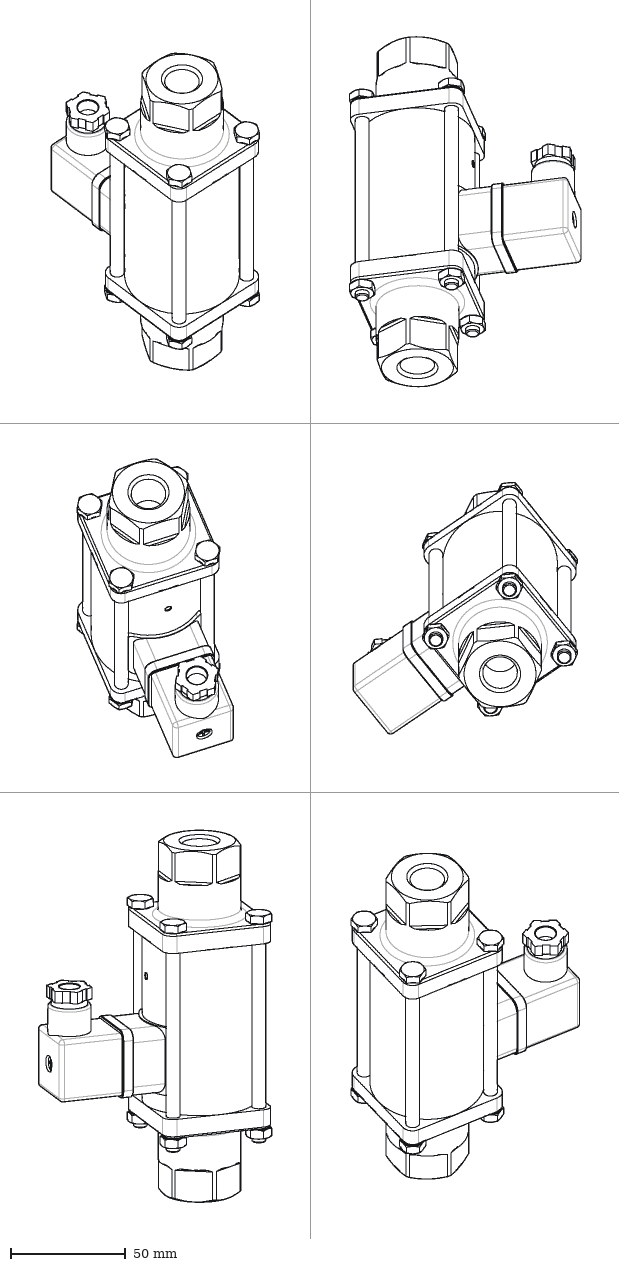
import cadquery as cq
import math

chamfer_angle = 45.0
bevel_slope = math.tan(math.radians(30))
hex_flats_ratio = math.cos(math.pi / 6)

half_length = 79.8
body_dia = 50.0
body_half_height = 37.6

plate_side = 50.1
plate_thickness = 8.8
plate_corner_radius = 5.0
plate_chamfer = 1.0
plate_outer_z = body_half_height + plate_thickness

port_dia = 36.0
port_flats = 32.0
port_flats_start = 65.5
port_runout = 1.0
port_root_fillet = 2.5
port_tip_dia = 31.3
bore_dia = 15.0
bore_mouth_dia = 17.9
bore_depth = 19.1

rod_offset = 20.0
rod_dia = 6.0
rod_tip_z = -53.3
rod_tip_chamfer = 0.5
bolt_flats = 10.0
washer_dia = 9.3
washer_thickness = 0.3
head_height = 3.7
nut_height = 4.1

connector_z = -14.0
block_side = 30.0
block_corner_radius = 5.0
pad_dia = 53.0
pad_width = 34.1
pad_height = 30.8
pad_corner_radius = 2.5
flange_width = 30.6
flange_height = 30.8
flange_corner_radius = 4.1
flange_edge_chamfer = 0.3
flange_inner_x = -36.5
flange_outer_x = -41.5
box_width = 28.0
box_height = 28.2
box_outer_x = -70.2
box_fillet = 1.9

screw_recess_dia = 7.2
screw_recess_depth = 1.9
screw_head_dia = 6.0
screw_head_height = 1.0
screw_slot_width = 1.0
screw_slot_depth = 0.8

gland_x = -60.6
gland_dia = 18.8
gland_top_z = 12.1
gland_fillet = 1.0
gland_neck_dia = 16.0
gland_nut_bottom_z = 14.8
gland_nut_top_z = 20.1
gland_nut_corner_dia = 20.0
gland_groove_width = 3.3
gland_groove_depth = 0.6
gland_bore_dia = 9.0
gland_bore_mouth_dia = 9.5
gland_bore_depth = 5.7

vent_z = 20.9
vent_dia = 2.5
vent_mouth_dia = 3.2
vent_depth = 3.2


def cylinder(diameter, z_bottom, z_top):
    """Vertical cylinder between two heights."""
    return cq.Workplane("XY", origin=(0, 0, z_bottom)).circle(diameter / 2).extrude(z_top - z_bottom)


def hexagon(flats, z_bottom, height, taper=0.0):
    """Vertical hexagonal prism with two flats facing -X and +X."""
    corner_dia = flats / hex_flats_ratio
    plane = cq.Workplane("XY", origin=(0, 0, z_bottom))
    return plane.transformed(rotate=(0, 0, 30)).polygon(6, corner_dia).extrude(height, taper=taper)


def mirrored(part):
    """Copy of a part reflected to the other end of the valve."""
    return part.mirror("XY")


def side_block(width, height, x_outer, x_inner):
    """Block centred on the connector axis between two X positions."""
    return cq.Workplane("XY").box(x_inner - x_outer, width, height).translate(
        ((x_outer + x_inner) / 2, 0, connector_z)
    )


def bevelled_cylinder(diameter, tip_dia, z_bottom, z_top, both_ends=False):
    """Turned envelope with a 30 degree bevel at its top, or at both ends."""
    radius = diameter / 2
    tip = tip_dia / 2
    rise = (radius - tip) * bevel_slope
    profile = cq.Workplane("XZ").moveTo(0, z_bottom)
    if both_ends:
        profile = profile.lineTo(tip, z_bottom).lineTo(radius, z_bottom + rise)
    else:
        profile = profile.lineTo(radius, z_bottom)
    profile = profile.lineTo(radius, z_top - rise).lineTo(tip, z_top).lineTo(0, z_top).close()
    return profile.revolve(360, (0, 0, 0), (0, 1, 0))


def make_end_plate():
    plate = cq.Workplane("XY", origin=(0, 0, body_half_height)).rect(plate_side, plate_side)
    plate = plate.extrude(plate_thickness).edges("|Z").fillet(plate_corner_radius)
    return plate.faces(">Z").edges().chamfer(plate_chamfer)


def make_port():
    """Round neck with a filleted root and a hexagonal end on 45 degree run-outs and a flat ledge."""
    port = bevelled_cylinder(port_dia, port_tip_dia, plate_outer_z, half_length)
    ledge_z = port_flats_start - port_runout
    envelope = hexagon(port_flats, port_flats_start, half_length - port_flats_start)
    runout_flats = port_flats + 2 * port_runout
    envelope = envelope.union(hexagon(runout_flats, ledge_z, port_runout, taper=chamfer_angle))
    envelope = envelope.union(cylinder(2 * port_dia, plate_outer_z, ledge_z))
    port = port.intersect(envelope)

    radius = port_dia / 2
    fillet_mid = port_root_fillet * (1 - math.sqrt(0.5))
    root = (
        cq.Workplane("XZ")
        .moveTo(0, plate_outer_z)
        .lineTo(radius + port_root_fillet, plate_outer_z)
        .threePointArc(
            (radius + fillet_mid, plate_outer_z + fillet_mid),
            (radius, plate_outer_z + port_root_fillet),
        )
        .lineTo(0, plate_outer_z + port_root_fillet)
        .close()
        .revolve(360, (0, 0, 0), (0, 1, 0))
    )
    return port.union(root)


def make_port_bore():
    mouth_chamfer = (bore_mouth_dia - bore_dia) / 2
    bore = cylinder(bore_dia, half_length - bore_depth, half_length)
    mouth = cq.Workplane("XY", origin=(0, 0, half_length)).circle(bore_mouth_dia / 2)
    return bore.union(mouth.extrude(-mouth_chamfer, taper=chamfer_angle))


def make_tie_rod():
    """Rod with a bolt head above the top plate and a nut below the bottom plate."""
    corner_dia = bolt_flats / hex_flats_ratio
    rod = cylinder(rod_dia, rod_tip_z, plate_outer_z).faces("<Z").edges().chamfer(rod_tip_chamfer)

    head_bottom = plate_outer_z + washer_thickness
    head = hexagon(bolt_flats, head_bottom, head_height).intersect(
        bevelled_cylinder(corner_dia, bolt_flats, head_bottom, head_bottom + head_height)
    )
    nut_bottom = -head_bottom - nut_height
    nut = hexagon(bolt_flats, nut_bottom, nut_height).intersect(
        bevelled_cylinder(corner_dia, bolt_flats, nut_bottom, -head_bottom, both_ends=True)
    )
    washer = cylinder(washer_dia, plate_outer_z, head_bottom)
    return rod.union(head).union(nut).union(washer).union(mirrored(washer))


def make_connector():
    """Seat pad, block, flange and filleted box along the connector axis."""
    pad = side_block(pad_width, pad_height, -pad_dia / 2, 0).edges("|X").fillet(pad_corner_radius)
    pad = pad.intersect(cylinder(pad_dia, -body_half_height, body_half_height))
    block = side_block(block_side, block_side, flange_inner_x, 0).edges("|X").fillet(block_corner_radius)
    flange = side_block(flange_width, flange_height, flange_outer_x, flange_inner_x)
    flange = flange.edges("|X").fillet(flange_corner_radius)
    flange = flange.faces("<X or >X").edges().chamfer(flange_edge_chamfer)
    box = side_block(box_width, box_height, box_outer_x, flange_outer_x)
    box = box.edges("|X or <X").fillet(box_fillet)
    return pad.union(block).union(flange).union(box)


def make_screw_recess():
    """Round recess that leaves a cross-slotted screw head standing on its floor."""
    face = cq.Workplane("YZ", origin=(box_outer_x, 0, connector_z))
    recess = face.circle(screw_recess_dia / 2).extrude(screw_recess_depth)
    head_top = face.workplane(offset=screw_recess_depth - screw_head_height)
    head = head_top.circle(screw_head_dia / 2).extrude(screw_head_height)
    slot_length = screw_head_dia - screw_slot_width
    for length_y, length_z in ((slot_length, screw_slot_width), (screw_slot_width, slot_length)):
        head = head.cut(head_top.rect(length_y, length_z).extrude(screw_slot_depth))
    return recess.cut(head)


def make_gland():
    """Stepped cable gland with a grooved hexagonal nut and a blind cable hole."""
    base = cylinder(gland_dia, connector_z, gland_top_z).faces(">Z").edges().fillet(gland_fillet)
    neck = cylinder(gland_neck_dia, gland_top_z, gland_nut_bottom_z)
    gland_nut_height = gland_nut_top_z - gland_nut_bottom_z
    nut_flats = gland_nut_corner_dia * hex_flats_ratio
    nut = hexagon(nut_flats, gland_nut_bottom_z, gland_nut_height)
    groove = cq.Workplane("XY", origin=(nut_flats / 2, 0, gland_nut_bottom_z))
    groove = groove.rect(2 * gland_groove_depth, gland_groove_width).extrude(gland_nut_height)
    for side in range(6):
        nut = nut.cut(groove.rotate((0, 0, 0), (0, 0, 1), 60 * side))

    gland = base.union(neck).union(nut)
    gland = gland.cut(cylinder(gland_bore_dia, gland_nut_top_z - gland_bore_depth, gland_nut_top_z))
    mouth_chamfer = (gland_bore_mouth_dia - gland_bore_dia) / 2
    mouth = cq.Workplane("XY", origin=(0, 0, gland_nut_top_z)).circle(gland_bore_mouth_dia / 2)
    gland = gland.cut(mouth.extrude(-mouth_chamfer, taper=chamfer_angle))
    return gland.translate((gland_x, 0, 0))


def make_vent_hole():
    mouth = cq.Workplane("YZ", origin=(-body_dia / 2, 0, vent_z))
    hole = mouth.circle(vent_dia / 2).extrude(vent_depth)
    mouth_chamfer = (vent_mouth_dia - vent_dia) / 2
    return hole.union(mouth.circle(vent_mouth_dia / 2).extrude(mouth_chamfer, taper=chamfer_angle))


result = cylinder(body_dia, -body_half_height, body_half_height)
for end_part in (make_end_plate(), make_port()):
    result = result.union(end_part).union(mirrored(end_part))

tie_rod = make_tie_rod()
for x_sign in (-1, 1):
    for y_sign in (-1, 1):
        result = result.union(tie_rod.translate((x_sign * rod_offset, y_sign * rod_offset, 0)))

result = result.union(make_connector()).union(make_gland())
result = result.cut(make_screw_recess()).cut(make_vent_hole())

port_bore = make_port_bore()
result = result.cut(port_bore).cut(mirrored(port_bore))